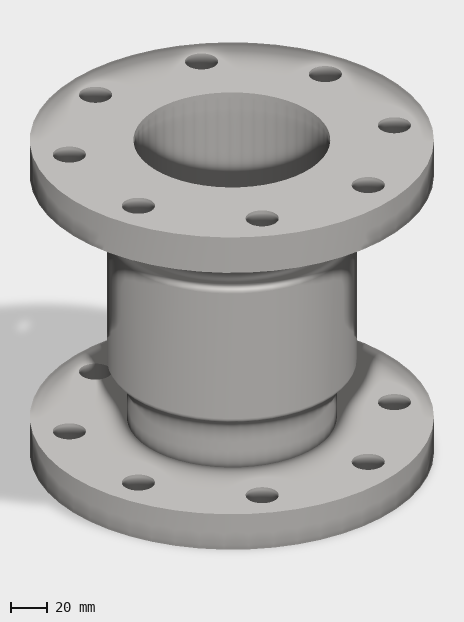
import cadquery as cq

total_height = 194.0
flange_diameter = 220.0
flange_thickness = 22.0
pipe_diameter = 114.5
bore_diameter = 107.1
sleeve_diameter = 136.0
sleeve_height = 84.0
sleeve_fillet = 3.0

bolt_count = 8
bolt_circle_diameter = 180.0
bolt_hole_diameter = 18.0
first_bolt_angle = 180.0 / bolt_count


def centred_cylinder(diameter, height):
    """Cylinder on the Z axis, centred on the origin."""
    return cq.Workplane("XY").circle(diameter / 2).extrude(height / 2, both=True)


def flange(bottom_z):
    """Plain round flange whose lower face lies at bottom_z."""
    base = cq.Workplane("XY", origin=(0, 0, bottom_z))
    return base.circle(flange_diameter / 2).extrude(flange_thickness)


def bolt_holes():
    """Ring of bolt hole cutters running through both flanges."""
    return (
        cq.Workplane("XY")
        .polarArray(bolt_circle_diameter / 2, first_bolt_angle, 360, bolt_count)
        .circle(bolt_hole_diameter / 2)
        .extrude(total_height / 2, both=True)
    )


def sleeve_profile():
    """Half section of the sleeve, with rounded rims and rounded corners against the pipe."""
    pipe_radius = pipe_diameter / 2
    sleeve_radius = sleeve_diameter / 2
    end_z = sleeve_height / 2
    rim_z = end_z - sleeve_fillet
    corner_z = end_z + sleeve_fillet
    corner_radius = pipe_radius + sleeve_fillet
    rim_radius = sleeve_radius - sleeve_fillet
    inner_radius = bore_diameter / 2
    return (
        cq.Workplane("XZ")
        .moveTo(inner_radius, -corner_z)
        .lineTo(pipe_radius, -corner_z)
        .radiusArc((corner_radius, -end_z), sleeve_fillet)
        .lineTo(rim_radius, -end_z)
        .radiusArc((sleeve_radius, -rim_z), -sleeve_fillet)
        .lineTo(sleeve_radius, rim_z)
        .radiusArc((rim_radius, end_z), -sleeve_fillet)
        .lineTo(corner_radius, end_z)
        .radiusArc((pipe_radius, corner_z), sleeve_fillet)
        .lineTo(inner_radius, corner_z)
        .close()
    )


pipe = centred_cylinder(pipe_diameter, total_height)
sleeve = sleeve_profile().revolve(360, (0, 0), (0, 1))

bottom_flange = flange(-total_height / 2)
top_flange = flange(total_height / 2 - flange_thickness)

body = pipe.union(sleeve).union(bottom_flange).union(top_flange)
result = body.cut(centred_cylinder(bore_diameter, total_height)).cut(bolt_holes())